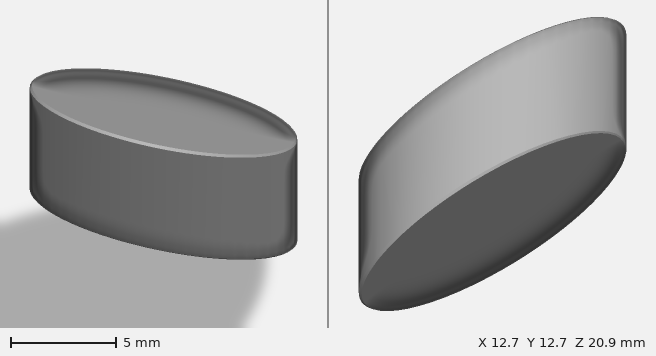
import cadquery as cq
import math

diameter = 12.7
overall_height = 20.9
end_angle = 45.0
bevel_size = 0.088

radius = diameter / 2
tilt = math.radians(end_angle)

path_radius = radius - bevel_size
path_rise = path_radius * math.tan(tilt)

path_center_z = overall_height / 2 - path_rise - bevel_size * math.cos(tilt)


def tilted_ellipse(half_width, half_depth, rise, center):
    """Ellipse that spans half_depth along Y and is higher by rise at its -Y end."""
    return cq.Wire.makeEllipse(
        half_width,
        math.hypot(half_depth, rise),
        center=cq.Vector(*center),
        normal=cq.Vector(0, rise, half_depth),
        xDir=cq.Vector(1, 0, 0),
    )


def face_rim(end):
    """Edge of the flat end face; end is +1 for the upper face and -1 for the lower one."""
    center_y = end * bevel_size * math.sin(tilt)
    center_z = end * (path_center_z + bevel_size * math.cos(tilt))
    return tilted_ellipse(path_radius, path_radius, path_rise, (0, center_y, center_z))


def wall_rim(end):
    """Edge where the bevel meets the round wall."""
    return tilted_ellipse(radius, radius, path_rise, (0, 0, end * path_center_z))


rims = [face_rim(-1), wall_rim(-1), wall_rim(1), face_rim(1)]
result = cq.Workplane(cq.Solid.makeLoft(rims, True))